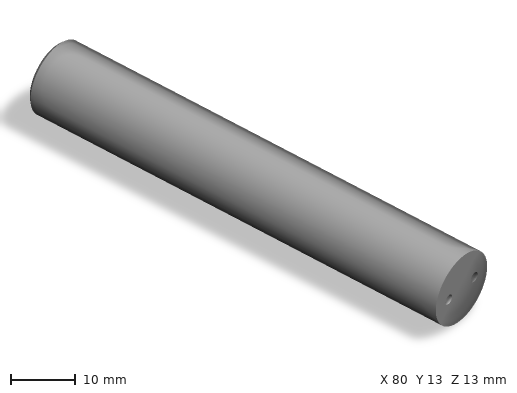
import cadquery as cq
import math

length = 80.0
diameter = 13.0
chamfer = 0.6

channel_diameter = 1.8
channel_y = 2.2
channel_z = 2.4
helix_angle = 30.0

pitch = math.pi * diameter / math.tan(math.radians(helix_angle))
twist = 360 * length / pitch


def end_plane():
    return cq.Workplane("YZ").workplane(offset=-length / 2)


def make_rod():
    rod = end_plane().circle(diameter / 2).extrude(length)
    return rod.faces("<X").edges().chamfer(chamfer)


def make_channel(side):
    start = end_plane().center(-side * channel_y, side * channel_z).circle(channel_diameter / 2)
    return start.center(side * channel_y, -side * channel_z).twistExtrude(length, twist)


result = make_rod()
for side in (1, -1):
    result = result.cut(make_channel(side))